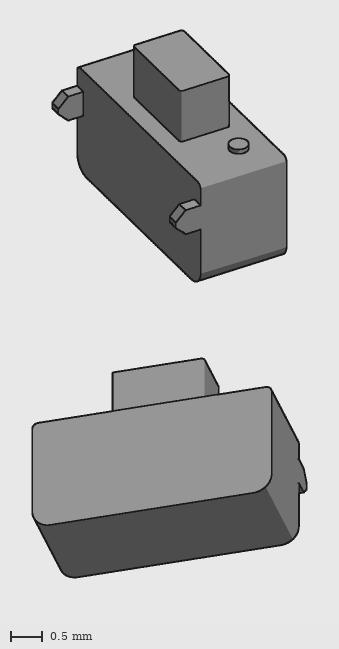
import cadquery as cq

body_width = 3.9
body_depth = 1.552
body_height = 1.95
top_radius = 0.1
bottom_radius = 0.3

button_width = 1.5
button_depth = 0.9
button_from_back = 0.33
button_height = 0.95
button_corner_radius = 0.05

pin_diameter = 0.32
pin_height = 0.08
pin_spacing = 2.7
pin_from_back = 0.525

terminal_width = 0.2
terminal_length = 0.45
terminal_height = 0.452
terminal_below_top = 0.39
tip_chamfer = 0.175


def make_housing():
    block = cq.Workplane("XY").box(
        body_width, body_depth, body_height, centered=(True, False, False)
    )
    block = block.edges("|Y and >Z").fillet(top_radius)
    return block.edges("|Y and <Z").fillet(bottom_radius)


def make_button():
    center_y = body_depth - button_from_back - button_depth / 2
    return (
        cq.Workplane("XY", origin=(0, center_y, body_height))
        .rect(button_width, button_depth)
        .extrude(button_height)
        .edges("|Z")
        .fillet(button_corner_radius)
    )


def make_pins():
    return (
        cq.Workplane("XY", origin=(0, body_depth - pin_from_back, body_height))
        .pushPoints([(-pin_spacing / 2, 0), (pin_spacing / 2, 0)])
        .circle(pin_diameter / 2)
        .extrude(pin_height)
    )


def make_terminal(side):
    """Terminal with a bevelled tip; side is -1 for left and 1 for right."""
    center_x = side * (body_width - terminal_width) / 2
    center_z = body_height - terminal_below_top - terminal_height / 2
    return (
        cq.Workplane("XY")
        .box(terminal_width, terminal_length, terminal_height)
        .edges("|X and <Y")
        .chamfer(tip_chamfer)
        .translate((center_x, -terminal_length / 2, center_z))
    )


result = make_housing().union(make_button()).union(make_pins())
for side in (-1, 1):
    result = result.union(make_terminal(side))